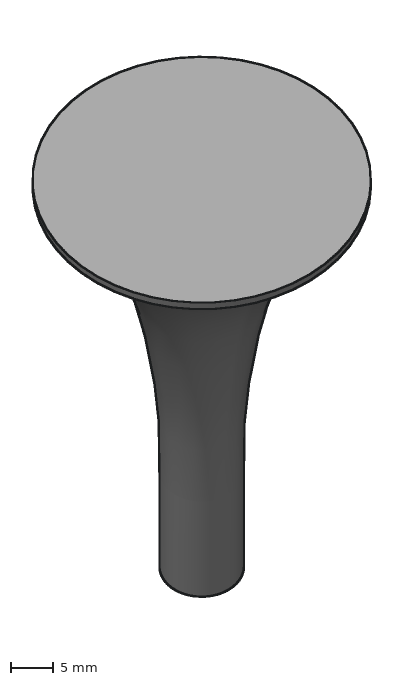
import cadquery as cq

total_height = 66.4
stem_diameter = 10.0
stem_height = 16.35
disc_diameter = 40.0
rim_thickness = 1.1

stem_radius = stem_diameter / 2
disc_radius = disc_diameter / 2
rim_bottom = total_height - rim_thickness

flare_guides = [(5.2, 26.55), (6.2, 36.45), (8.55, 48.9), (12.75, 58.4)]
stem_tangent = (0, 1)
rim_tangent = (1.5, 1)


def revolved_horn():
    """Straight stem, concave flare and thin flat rim, turned about Z."""
    flare_points = flare_guides + [(disc_radius, rim_bottom)]
    half_profile = (
        cq.Workplane("XZ")
        .lineTo(stem_radius, 0)
        .lineTo(stem_radius, stem_height)
        .spline(flare_points, tangents=[stem_tangent, rim_tangent], includeCurrent=True)
        .lineTo(disc_radius, total_height)
        .lineTo(0, total_height)
        .close()
    )
    return half_profile.revolve(360, (0, 0, 0), (0, 1, 0))


result = revolved_horn()